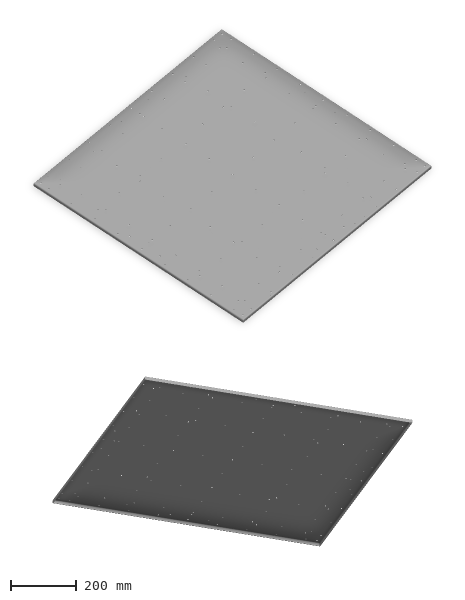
import cadquery as cq

length_x = 853.0
length_y = 859.0
height = 12.0
sheet = 2.0
inner_bend_radius = sheet
outer_bend_radius = inner_bend_radius + sheet

hole_diameter = 4.7
anchor_diameter = 5.6

row_edge_y = 416.0
row_inner_y = 365.0
row_middle_y = row_edge_y / 2
row_end_x = 376.0

column_edge_x = 412.0
column_inner_x = 362.0
column_middle_x = column_edge_x / 2
column_end_y = 380.0

column_steps = 4
pitch = column_end_y / column_steps

anchor_x = 411.0
anchor_y = 414.0

pair_half_spacing = 62.0
pair_x = 398.0
pair_y = 399.5


def block(size_x, size_y, size_z, edge_radius):
    """A block standing on Z = 0, centred in X and Y, with rounded top edges."""
    body = cq.Workplane("XY").box(size_x, size_y, size_z, centered=(True, True, False))
    return body.faces(">Z").edges().fillet(edge_radius)


def mirrored(points):
    """All distinct reflections of the points about the X and Y axes."""
    return sorted({(sx * x, sy * y) for x, y in points for sx in (1, -1) for sy in (1, -1)})


def drill(body, points, diameter):
    """Drill plain through holes at the points and at their reflections."""
    top = body.faces(">Z").workplane(origin=(0, 0, height))
    return top.pushPoints(mirrored(points)).hole(diameter)


outside = block(length_x, length_y, height, outer_bend_radius)
inside = block(length_x - 2 * sheet, length_y - 2 * sheet, height - sheet, inner_bend_radius)
panel = outside.cut(inside)

steps = [pitch * i for i in range(1, column_steps)]
row_xs = steps + [row_end_x]
row_ys = [0, row_middle_y, row_inner_y, row_edge_y]
column_xs = [0, column_middle_x, column_inner_x, column_edge_x]
column_ys = steps + [column_end_y]

row_holes = [(x, y) for x in row_xs for y in row_ys]
column_holes = [(x, y) for x in column_xs for y in column_ys]
axis_holes = [(0, 0), (0, row_inner_y), (column_inner_x, 0)]
pair_holes = [(pair_half_spacing, pair_y), (pair_x, pair_half_spacing)]
anchor_holes = [(anchor_x, anchor_y), (anchor_x, 0), (0, anchor_y)]

panel = drill(panel, row_holes + column_holes + axis_holes + pair_holes, hole_diameter)
result = drill(panel, anchor_holes, anchor_diameter)